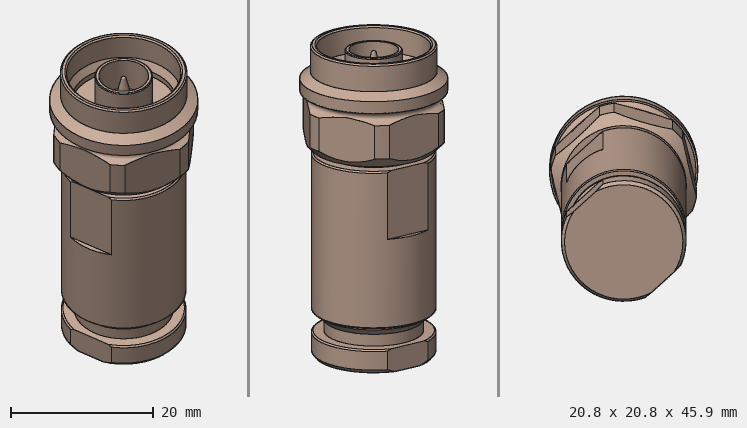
import cadquery as cq
import math

total_height = 45.85
clamp_nut_top = 3.55
clamp_neck_top = 5.25
seal_ring_bottom = 6.25
sleeve_bottom = 6.65
sleeve_flat_bottom = 19.85
sleeve_top = 29.93
hex_bottom = 30.7
hex_side_bottom = 32.35
hex_side_top = 37.3
groove_lower_edge = 37.7
groove_waist = 38.2
groove_upper_edge = 38.75
flange_bottom = 39.1
flange_side_top = 40.9
collar_bottom = 41.85

wrench_radius = 8.75
wrench_flat_distance = 8.0
clamp_neck_radius = 7.0
seal_ring_radius = 7.95
hex_neck_radius = 6.87
flange_radius = 10.4
hex_sides = 6
hex_flat_distance = 9.5
hex_bottom_radius = 8.8
groove_waist_radius = 9.4
groove_edge_radius = 9.7
flange_underside_radius = 10.15
collar_radius = 8.9

edge_chamfer = 0.25
sleeve_bottom_chamfer = 0.2
clamp_nut_chamfer_width = 0.45
clamp_nut_chamfer_height = 0.55

socket_floor = 40.05
socket_step_bottom = 40.9
socket_step_top = 42.03
socket_radius = 8.0
socket_floor_radius = 7.3
tube_top = 45.1
tube_outer_radius = 4.05
tube_inner_radius = 3.5
tube_chamfer = 0.15
pin_radius = 0.82
pin_tip_radius = 0.35
pin_taper_bottom = 42.6
pin_tip_bottom = 44.55
pin_top = pin_tip_bottom + pin_tip_radius


def revolve_profile(points):
    """Turn an outline of (radius, height) points around the Z axis."""
    return cq.Workplane("XZ").polyline(points).close().revolve(360, (0, 0), (0, 1))


def cut_wrench_flats(body, bottom, top):
    """Cut two parallel flats, facing -Y and +Y, between two heights."""
    depth = wrench_radius - wrench_flat_distance
    for side in (-1, 1):
        cutter = (
            cq.Workplane("XY", origin=(0, side * (wrench_flat_distance + depth), bottom))
            .box(2 * wrench_radius, 2 * depth, top - bottom, centered=(True, True, False))
        )
        body = body.cut(cutter)
    return body


def make_clamp_nut():
    nut = revolve_profile([
        (0, 0),
        (wrench_radius - clamp_nut_chamfer_width, 0),
        (wrench_radius, clamp_nut_chamfer_height),
        (wrench_radius, clamp_nut_top - edge_chamfer),
        (wrench_radius - edge_chamfer, clamp_nut_top),
        (0, clamp_nut_top),
    ])
    return cut_wrench_flats(nut, 0, clamp_nut_top)


def make_clamp_neck():
    return revolve_profile([
        (0, clamp_nut_top),
        (clamp_neck_radius, clamp_nut_top),
        (clamp_neck_radius, clamp_neck_top),
        (seal_ring_radius, seal_ring_bottom),
        (seal_ring_radius, sleeve_bottom),
        (0, sleeve_bottom),
    ])


def make_sleeve():
    sleeve = revolve_profile([
        (0, sleeve_bottom),
        (wrench_radius - sleeve_bottom_chamfer, sleeve_bottom),
        (wrench_radius, sleeve_bottom + sleeve_bottom_chamfer),
        (wrench_radius, sleeve_top - edge_chamfer),
        (wrench_radius - edge_chamfer, sleeve_top),
        (0, sleeve_top),
    ])
    return cut_wrench_flats(sleeve, sleeve_flat_bottom, sleeve_top)


def make_hex_neck():
    return revolve_profile([
        (0, sleeve_top),
        (hex_neck_radius, sleeve_top),
        (hex_neck_radius, hex_bottom),
        (0, hex_bottom),
    ])


def make_hexagon_and_flange():
    """Hexagon with corners on the X axis, a rounded groove and the flanged collar above it."""
    turned_blank = (
        cq.Workplane("XZ")
        .moveTo(0, hex_bottom)
        .lineTo(hex_bottom_radius, hex_bottom)
        .lineTo(flange_radius, hex_side_bottom)
        .lineTo(flange_radius, hex_side_top)
        .lineTo(groove_edge_radius, groove_lower_edge)
        .threePointArc((groove_waist_radius, groove_waist), (groove_edge_radius, groove_upper_edge))
        .lineTo(flange_underside_radius, flange_bottom)
        .lineTo(flange_radius, flange_bottom)
        .lineTo(flange_radius, flange_side_top)
        .lineTo(collar_radius, collar_bottom)
        .lineTo(collar_radius, total_height - edge_chamfer)
        .lineTo(collar_radius - edge_chamfer, total_height)
        .lineTo(0, total_height)
        .close()
        .revolve(360, (0, 0), (0, 1))
    )
    corner_diameter = 2 * hex_flat_distance / math.cos(math.pi / hex_sides)
    waste_ring = (
        cq.Workplane("XY", origin=(0, 0, hex_bottom))
        .circle(corner_diameter)
        .polygon(hex_sides, corner_diameter)
        .extrude(groove_waist - hex_bottom)
    )
    return turned_blank.cut(waste_ring)


def make_socket():
    return revolve_profile([
        (0, socket_floor),
        (socket_floor_radius, socket_floor),
        (socket_floor_radius, socket_step_bottom),
        (socket_radius, socket_step_top),
        (socket_radius, total_height - edge_chamfer),
        (socket_radius + edge_chamfer, total_height),
        (0, total_height),
    ])


def make_centre_tube():
    return revolve_profile([
        (tube_inner_radius, socket_floor),
        (tube_outer_radius, socket_floor),
        (tube_outer_radius, tube_top - tube_chamfer),
        (tube_outer_radius - tube_chamfer, tube_top),
        (tube_inner_radius, tube_top),
    ])


def make_contact_pin():
    """Round pin that tapers to a hemispherical tip."""
    tip_mid = pin_tip_radius * math.sqrt(0.5)
    return (
        cq.Workplane("XZ")
        .moveTo(0, socket_floor)
        .lineTo(pin_radius, socket_floor)
        .lineTo(pin_radius, pin_taper_bottom)
        .lineTo(pin_tip_radius, pin_tip_bottom)
        .threePointArc((tip_mid, pin_tip_bottom + tip_mid), (0, pin_top))
        .close()
        .revolve(360, (0, 0), (0, 1))
    )


result = (
    make_clamp_nut()
    .union(make_clamp_neck())
    .union(make_sleeve())
    .union(make_hex_neck())
    .union(make_hexagon_and_flange())
    .cut(make_socket())
    .union(make_centre_tube())
    .union(make_contact_pin())
)